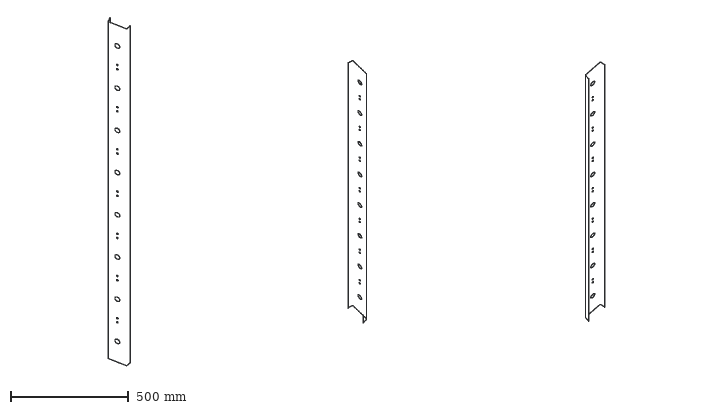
import math

import cadquery as cq

LENGTH = 1996.0
WIDTH = 100.0
DEPTH = 24.8

THICKNESS = 0.8
WEB_BEND_RADIUS = 3.25
WALL_FLARE = math.radians(9.85)
LIP_WIDTH = 2.5

HOLE_PITCH = 250.0
KNOCKOUT_COUNT = 8
KNOCKOUT_DIAMETER = 25.0
GROOVE_WIDTH = 0.8
GROOVE_DEPTH = THICKNESS / 2
SMALL_HOLE_DIAMETER = 7.0
SMALL_HOLE_SPACING = 25.0

FRONT_Y = -DEPTH / 2
BACK_Y = DEPTH / 2


def polar(centre, radius, angle):
    """Point at a radius and angle (from +X) around a centre."""
    return (centre[0] + radius * math.cos(angle), centre[1] + radius * math.sin(angle))


def make_half_section():
    """Right half of the section: half web, rounded bend, flared wall and lip square to the wall."""
    sin_flare = math.sin(WALL_FLARE)
    cos_flare = math.cos(WALL_FLARE)

    corner = (WIDTH / 2, BACK_Y - LIP_WIDTH * sin_flare)

    def from_corner(inward, forward):
        """Point measured from the outer lip corner, across the wall and down along it."""
        return (
            corner[0] - inward * cos_flare - forward * sin_flare,
            corner[1] + inward * sin_flare - forward * cos_flare,
        )

    bend_y = FRONT_Y + WEB_BEND_RADIUS
    bend_x = corner[0] - (WEB_BEND_RADIUS + (corner[1] - bend_y) * sin_flare) / cos_flare
    bend = (bend_x, bend_y)
    outer = WEB_BEND_RADIUS
    inner = WEB_BEND_RADIUS - THICKNESS
    web_end = -math.pi / 2
    wall_end = -WALL_FLARE
    middle = (web_end + wall_end) / 2

    return (
        cq.Workplane("XY")
        .moveTo(0, FRONT_Y)
        .lineTo(*polar(bend, outer, web_end))
        .threePointArc(polar(bend, outer, middle), polar(bend, outer, wall_end))
        .lineTo(*corner)
        .lineTo(*from_corner(LIP_WIDTH, 0))
        .lineTo(*from_corner(LIP_WIDTH, THICKNESS))
        .lineTo(*from_corner(THICKNESS, THICKNESS))
        .lineTo(*polar(bend, inner, wall_end))
        .threePointArc(polar(bend, inner, middle), polar(bend, inner, web_end))
        .lineTo(0, FRONT_Y + THICKNESS)
        .close()
    )


def make_channel():
    """Open channel, symmetric about the YZ plane."""
    right_half = make_half_section().extrude(LENGTH / 2, both=True)
    return right_half.union(right_half.mirror("YZ")).clean()


def spaced(count, pitch):
    """Positions of `count` items at an even pitch, centred on zero."""
    return [(i - (count - 1) / 2) * pitch for i in range(count)]


def web_circles(diameter, heights):
    """Circles on the front face of the web at the given heights."""
    return (
        cq.Workplane("XZ", origin=(0, FRONT_Y, 0))
        .pushPoints([(0, z) for z in heights])
        .circle(diameter / 2)
    )


def make_knockout_grooves():
    """Shallow ring grooves that outline the knockouts in the front of the web."""
    heights = spaced(KNOCKOUT_COUNT, HOLE_PITCH)
    discs = web_circles(KNOCKOUT_DIAMETER, heights).extrude(-GROOVE_DEPTH)
    cores = web_circles(KNOCKOUT_DIAMETER - 2 * GROOVE_WIDTH, heights).extrude(-GROOVE_DEPTH)
    return discs.cut(cores)


def make_small_holes():
    """Pairs of through holes, one pair midway between neighbouring knockouts."""
    heights = [
        pair_middle + offset
        for pair_middle in spaced(KNOCKOUT_COUNT - 1, HOLE_PITCH)
        for offset in spaced(2, SMALL_HOLE_SPACING)
    ]
    return web_circles(SMALL_HOLE_DIAMETER, heights).extrude(-THICKNESS)


result = make_channel().cut(make_knockout_grooves()).cut(make_small_holes())